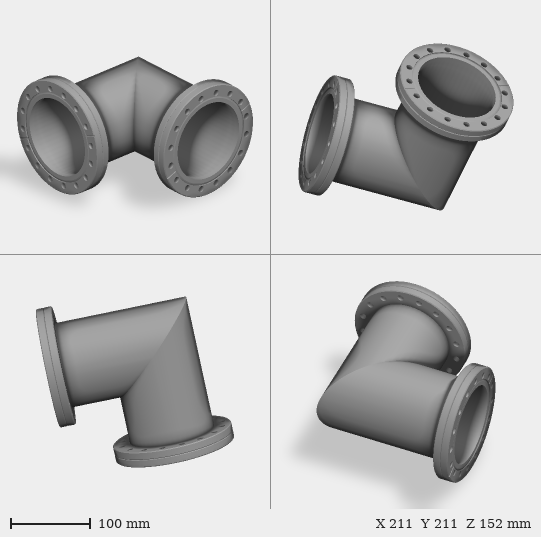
import cadquery as cq
import math


overall_length = 211.0
flange_diameter = 152.0
flange_radius = flange_diameter / 2
leg_length = overall_length - flange_radius

tube_diameter = 108.0
bore_diameter = 104.0

flange_thickness = 20.0
rim_chamfer = 1.0
rim_groove_width = 1.7
rim_groove_depth = rim_groove_width / 2

bolt_count = 16
bolt_circle_diameter = 130.2
bolt_hole_diameter = 8.5

recess_diameter = 120.3
knife_diameter = 115.0
knife_depth = 0.6
knife_slope_angle = 20
slope_width = (recess_diameter - knife_diameter) / 2
recess_depth = knife_depth + slope_width * math.tan(math.radians(knife_slope_angle))

slot_width = 2.1
slot_angle = 22.5


def mitred_rod(diameter, length):
    """Solid rod along +X, ending at x = length and cut at 45 degrees through the origin."""
    radius = diameter / 2
    outline = [(-radius, radius), (radius, -radius), (length, -radius), (length, radius)]
    rod = cq.Workplane("YZ", origin=(-radius, 0, 0)).circle(radius).extrude(length + radius)
    mitre_block = cq.Workplane("XY").polyline(outline).close().extrude(radius, both=True)
    return rod.intersect(mitre_block)


def revolve_about_x(points):
    """Ring swept around the X axis from (x, radius) points."""
    return cq.Workplane("XY").polyline(points).close().revolve(360, (0, 0, 0), (1, 0, 0))


def flange_blank():
    """Chamfered disc with a shallow V-groove around the middle of its rim."""
    back = leg_length - flange_thickness
    middle = leg_length - flange_thickness / 2
    groove_back = middle - rim_groove_width / 2
    groove_front = middle + rim_groove_width / 2
    return revolve_about_x([
        (back, 0),
        (back, flange_radius - rim_chamfer),
        (back + rim_chamfer, flange_radius),
        (groove_back, flange_radius),
        (middle, flange_radius - rim_groove_depth),
        (groove_front, flange_radius),
        (leg_length - rim_chamfer, flange_radius),
        (leg_length, flange_radius - rim_chamfer),
        (leg_length, 0),
    ])


def sealing_recess():
    """Material removed from the flange face to leave the knife edge."""
    return revolve_about_x([
        (leg_length, 0),
        (leg_length, recess_diameter / 2),
        (leg_length - recess_depth, recess_diameter / 2),
        (leg_length - knife_depth, knife_diameter / 2),
        (leg_length - knife_depth, 0),
    ])


def bolt_holes():
    """Through holes straddling the flange centre lines."""
    half_pitch = 180 / bolt_count
    return (
        cq.Workplane("YZ", origin=(leg_length - flange_thickness, 0, 0))
        .polarArray(bolt_circle_diameter / 2, half_pitch, 360, bolt_count)
        .circle(bolt_hole_diameter / 2)
        .extrude(flange_thickness)
    )


def leak_check_slots():
    """Two opposite half-round radial slots from the sealing recess out through the rim."""
    slot_radius = slot_width / 2
    inner_end = recess_diameter / 2 - slot_radius
    slot_length = flange_radius - inner_end
    slots = cq.Workplane("XY")
    for side in (1, -1):
        slots = slots.add(
            cq.Workplane("XZ", origin=(leg_length, side * inner_end, 0))
            .circle(slot_radius)
            .extrude(-side * slot_length)
        )
    return slots.combine().rotate((0, 0, 0), (1, 0, 0), slot_angle)


def flange():
    blank = flange_blank().cut(sealing_recess())
    return blank.cut(bolt_holes()).cut(leak_check_slots())


def turn_over(shape):
    """Half turn about the mitre line y = -x, carrying the +X arm onto the -Y arm."""
    return shape.rotate((0, 0, 0), (1, -1, 0), 180)


tube_length = leg_length - flange_thickness / 2
arm = mitred_rod(tube_diameter, tube_length).union(flange())
bore = mitred_rod(bore_diameter, leg_length)

result = arm.union(turn_over(arm)).cut(bore).cut(turn_over(bore))